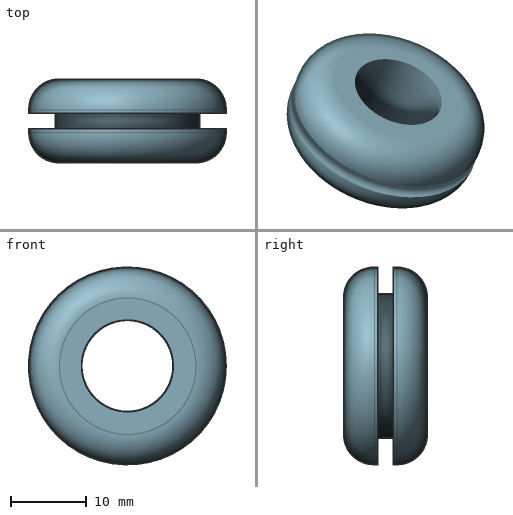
import cadquery as cq

outer_diameter = 26.0
thickness = 11.0
bore_diameter = 12.0
groove_diameter = 19.0
groove_width = 2.0
rim_radius = 4.0

flange_thickness = (thickness - groove_width) / 2


def disc(diameter, length, start_y):
    """Cylinder along Y, extending from start_y toward +Y."""
    return cq.Workplane("XZ", origin=(0, start_y, 0)).circle(diameter / 2).extrude(-length)


def flange(start_y, outer_face):
    """Flange with its outer rim rounded over to the flat end face."""
    blank = disc(outer_diameter, flange_thickness, start_y)
    return blank.faces(outer_face).edges().fillet(rim_radius)


front_flange = flange(-thickness / 2, "<Y")
back_flange = flange(groove_width / 2, ">Y")
hub = disc(groove_diameter, groove_width, -groove_width / 2)
bore = disc(bore_diameter, thickness, -thickness / 2)

result = front_flange.union(hub).union(back_flange).cut(bore)